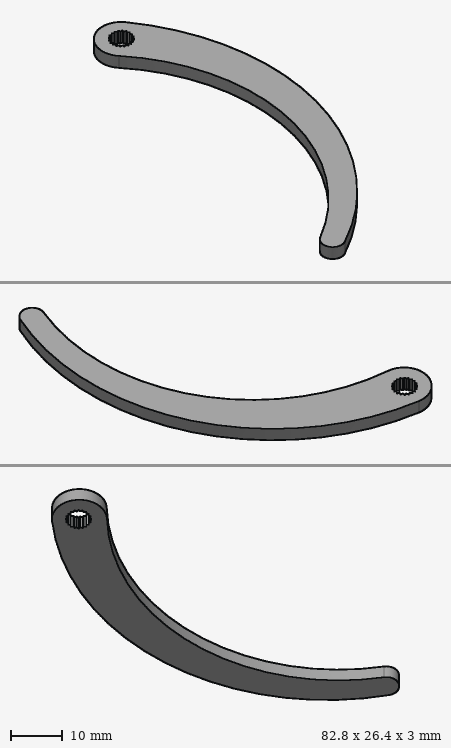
import cadquery as cq
import math

thickness = 3.0
end_spacing = 75.0
pivot_radius = 5.35
tip_radius = 2.5
spline_teeth = 20
spline_root_radius = 2.5
spline_tip_radius = 2.18
spline_angle = -1.5
outer_arc_radius = 53.65
inner_arc_radius = 45.0

spline_offset = (-0.12, 0.10)

pivot = (0.0, 0.0)
tip = (end_spacing, 0.0)
spline_axis = (pivot[0] + spline_offset[0], pivot[1] + spline_offset[1])


def arc_center(to_pivot, to_tip):
    """Point below the line of end centres at the given distances from pivot and tip."""
    x = (to_pivot**2 - to_tip**2 + end_spacing**2) / (2 * end_spacing)
    return (x, -math.sqrt(to_pivot**2 - x**2))


def point_toward(start, target, distance):
    """Point reached by moving a distance from start along the line through target."""
    length = math.dist(start, target)
    return tuple(s + (t - s) * distance / length for s, t in zip(start, target))


outer_center = arc_center(outer_arc_radius - pivot_radius, outer_arc_radius - tip_radius)
inner_center = arc_center(inner_arc_radius + pivot_radius, inner_arc_radius + tip_radius)


def arm_outline():
    """Closed outline of four arcs that meet tangentially."""
    outer_start = point_toward(outer_center, pivot, outer_arc_radius)
    outer_top = (outer_center[0], outer_center[1] + outer_arc_radius)
    outer_end = point_toward(outer_center, tip, outer_arc_radius)
    tip_bottom = (tip[0], tip[1] - tip_radius)
    inner_start = point_toward(inner_center, tip, inner_arc_radius)
    inner_top = (inner_center[0], inner_center[1] + inner_arc_radius)
    inner_end = point_toward(inner_center, pivot, inner_arc_radius)
    pivot_left = (pivot[0] - pivot_radius, pivot[1])
    return (
        cq.Workplane("XY")
        .moveTo(*outer_start)
        .threePointArc(outer_top, outer_end)
        .threePointArc(tip_bottom, inner_start)
        .threePointArc(inner_top, inner_end)
        .threePointArc(pivot_left, outer_start)
        .close()
    )


def polar_point(radius, degrees):
    """Point at the given radius and direction around the spline axis."""
    angle = math.radians(degrees)
    return (spline_axis[0] + radius * math.cos(angle), spline_axis[1] + radius * math.sin(angle))


def splined_hole():
    """Cutter for the through hole, whose wall is a ring of V-shaped grooves."""
    pitch = 360 / spline_teeth
    outline = []
    for i in range(spline_teeth):
        groove_angle = spline_angle + i * pitch
        outline.append(polar_point(spline_root_radius, groove_angle))
        outline.append(polar_point(spline_tip_radius, groove_angle + pitch / 2))
    return cq.Workplane("XY").polyline(outline).close().extrude(thickness)


result = arm_outline().extrude(thickness).cut(splined_hole())